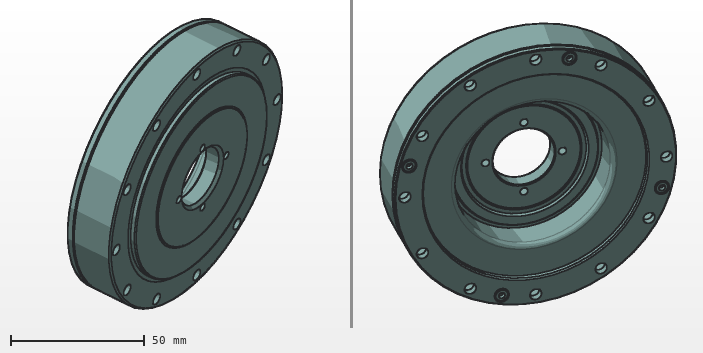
import cadquery as cq

outer_radius = 55.0
total_length = 22.68

plate_thickness = 3.0
edge_chamfer = 0.4
opening_radius = 43.7
opening_chamfer = 0.6
housing_back = 20.0
housing_back_chamfer = 0.7

carrier_front = 2.4
carrier_back = 22.2
carrier_back_radius = 42.0
carrier_back_chamfer = 0.5
carrier_bore_radius = 30.3
bore_round = 2.0
carrier_floor = 14.9

hub_radius = 28.95
hub_edge_chamfer = 0.5
hub_stand_out = 0.7
hub_front = carrier_floor - hub_stand_out
hub_boss_radius = 28.3
recess_mouth_radius = 24.95
recess_floor_radius = 24.25
recess_depth = 1.0
recess_floor = hub_front + recess_depth
hub_bore_radius = 12.0
hub_bore_chamfer = 0.45
hub_bore_back_chamfer = 1.3
groove_outer_radius = 22.6
groove_inner_radius = 22.0
groove_depth = 0.2

bolt_count = 12
bolt_circle_radius = 51.0
bolt_hole_radius = 2.25

screw_count = 4
screw_first_angle = 15.0
socket_radius = 1.2
socket_depth = 2.0
screw_head_radius = 2.4
screw_pocket_radius = 2.8
screw_groove_depth = 0.4

hub_hole_count = 4
hub_hole_circle_radius = 15.0
hub_hole_radius = 1.5


def disc(radius, start, end):
    """Solid cylinder about the X axis between two X positions."""
    return cq.Workplane("YZ", origin=(start, 0, 0)).circle(radius).extrude(end - start)


def ring(outer, inner, start, end):
    """Solid ring about the X axis between two X positions."""
    return disc(outer, start, end).cut(disc(inner, start, end))


def cone(start_radius, end_radius, start, end):
    """Solid cone frustum about the X axis between two X positions."""
    base = cq.Workplane("YZ", origin=(start, 0, 0)).circle(start_radius)
    return base.workplane(offset=end - start).circle(end_radius).loft()


def pin_circle(circle_radius, count, first_angle, pin_radius, start, end):
    """Equally spaced cylinders parallel to X, used as hole cutters."""
    plane = cq.Workplane("YZ", origin=(start, 0, 0))
    centres = plane.polarArray(circle_radius, first_angle, 360, count)
    return centres.circle(pin_radius).extrude(end - start)


def cut_bolt_holes(body):
    return body.cut(
        pin_circle(bolt_circle_radius, bolt_count, 0, bolt_hole_radius, 0, housing_back)
    )


def screw_cutter(radius, depth):
    return pin_circle(bolt_circle_radius, screw_count, screw_first_angle, radius, 0, depth)


def make_plate():
    plate = disc(outer_radius, 0, plate_thickness).faces("<X or >X").chamfer(edge_chamfer)
    plate = plate.cut(disc(opening_radius, 0, plate_thickness))
    mouth_radius = opening_radius + opening_chamfer
    plate = plate.cut(cone(mouth_radius, opening_radius, 0, opening_chamfer))
    head_gap = screw_cutter(screw_pocket_radius, screw_groove_depth).cut(
        screw_cutter(screw_head_radius, screw_groove_depth)
    )
    plate = plate.cut(head_gap).cut(screw_cutter(socket_radius, socket_depth))
    return cut_bolt_holes(plate)


def make_housing():
    housing = disc(outer_radius, plate_thickness, housing_back)
    housing = housing.faces("<X").chamfer(edge_chamfer)
    housing = housing.faces(">X").chamfer(housing_back_chamfer)
    housing = housing.cut(disc(opening_radius, plate_thickness, housing_back))
    return cut_bolt_holes(housing)


def make_carrier():
    step = disc(carrier_back_radius, housing_back, carrier_back)
    step = step.faces(">X").chamfer(carrier_back_chamfer)
    carrier = disc(opening_radius, carrier_front, housing_back).union(step)
    carrier = carrier.cut(disc(carrier_bore_radius, carrier_front, carrier_floor))
    bore_mouth = carrier.faces("<X").edges(cq.selectors.RadiusNthSelector(0))
    carrier = bore_mouth.fillet(bore_round)
    return carrier.cut(disc(hub_radius, carrier_floor, carrier_back))


def make_hub():
    hub = disc(hub_radius, hub_front, carrier_back).faces("<X").chamfer(hub_edge_chamfer)
    hub = hub.union(disc(hub_boss_radius, carrier_back, total_length))
    hub = hub.cut(cone(recess_mouth_radius, recess_floor_radius, hub_front, recess_floor))
    hub = hub.cut(
        ring(groove_outer_radius, groove_inner_radius, recess_floor, recess_floor + groove_depth)
    )
    hub = hub.cut(disc(hub_bore_radius, recess_floor, total_length))
    front_mouth_radius = hub_bore_radius + hub_bore_chamfer
    front_chamfer_end = recess_floor + hub_bore_chamfer
    hub = hub.cut(cone(front_mouth_radius, hub_bore_radius, recess_floor, front_chamfer_end))
    back_mouth_radius = hub_bore_radius + hub_bore_back_chamfer
    back_chamfer_start = total_length - hub_bore_back_chamfer
    hub = hub.cut(cone(hub_bore_radius, back_mouth_radius, back_chamfer_start, total_length))
    return hub.cut(
        pin_circle(
            hub_hole_circle_radius, hub_hole_count, 0, hub_hole_radius, recess_floor, total_length
        )
    )


plate = make_plate()
housing = make_housing()
carrier = make_carrier()
hub = make_hub()

result = cq.Compound.makeCompound([plate.val(), housing.val(), carrier.val(), hub.val()])